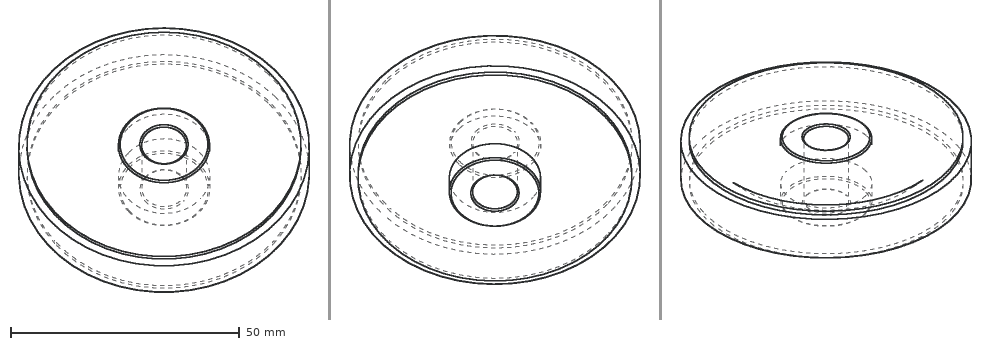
import cadquery as cq

rim_height = 11.95
tread_inset = 0.95
hub_drop = 5.0
dish_depth = 3.95

tread_diameter = 63.65
rim_diameter = 60.0
dish_top_diameter = 54.9
dish_floor_diameter = 47.0
hub_diameter = 20.0
bore_diameter = 9.8

hub_fillet = 2.0
hub_chamfer = 0.4
bore_chamfer = 0.4
dish_fillet = 0.4

floor_z = rim_height - dish_depth


def disc(diameter, bottom, top):
    return cq.Workplane("XY").workplane(offset=bottom).circle(diameter / 2).extrude(top - bottom)


def make_wheel():
    """Rim disc with a wider tread band around its middle."""
    rim = disc(rim_diameter, 0, rim_height)
    return rim.union(disc(tread_diameter, tread_inset, rim_height - tread_inset))


def cut_dish(body):
    """Cut the conical recess in the upper face and round its two circular edges."""
    cone = (
        cq.Workplane("XY")
        .workplane(offset=floor_z)
        .circle(dish_floor_diameter / 2)
        .workplane(offset=dish_depth)
        .circle(dish_top_diameter / 2)
        .loft()
    )
    dished = body.cut(cone)
    smallest_circle = cq.selectors.RadiusNthSelector(0)
    dished = dished.edges(smallest_circle).fillet(dish_fillet)
    return dished.faces(">Z").edges(smallest_circle).fillet(dish_fillet)


def make_hub():
    """Revolved hub with chamfered ends and a concave fillet onto the dish floor."""
    radius = hub_diameter / 2
    fillet_radius = radius + hub_fillet
    fillet_mid = hub_fillet * (1 - 0.5**0.5)
    return (
        cq.Workplane("XZ")
        .moveTo(0, -hub_drop)
        .lineTo(radius - hub_chamfer, -hub_drop)
        .lineTo(radius, -hub_drop + hub_chamfer)
        .lineTo(radius, 0)
        .lineTo(fillet_radius, 0)
        .lineTo(fillet_radius, floor_z)
        .threePointArc((radius + fillet_mid, floor_z + fillet_mid), (radius, floor_z + hub_fillet))
        .lineTo(radius, rim_height - hub_chamfer)
        .lineTo(radius - hub_chamfer, rim_height)
        .lineTo(0, rim_height)
        .close()
        .revolve(360, (0, 0, 0), (0, 1, 0))
    )


def make_bore():
    """Through-bore cutter that flares into a chamfer at both ends."""
    radius = bore_diameter / 2
    mouth_radius = radius + bore_chamfer
    return (
        cq.Workplane("XZ")
        .moveTo(0, -hub_drop)
        .lineTo(mouth_radius, -hub_drop)
        .lineTo(radius, -hub_drop + bore_chamfer)
        .lineTo(radius, rim_height - bore_chamfer)
        .lineTo(mouth_radius, rim_height)
        .lineTo(0, rim_height)
        .close()
        .revolve(360, (0, 0, 0), (0, 1, 0))
    )


result = cut_dish(make_wheel()).union(make_hub()).cut(make_bore())